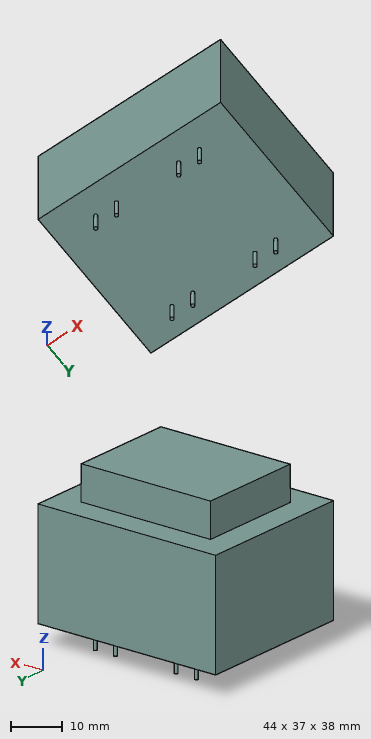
import cadquery as cq

body_length = 44.0
body_width = 37.0
body_height = 25.0

cover_margin = 6.0
cover_length = body_length - 2 * cover_margin
cover_width = body_width - 2 * cover_margin
cover_height = 8.0

pin_diameter = 0.8
pin_length = 5.0
pin_row_spacing = 25.0
outer_pin_spacing = 25.0
inner_pin_spacing = 15.0


def make_body():
    return cq.Workplane("XY").box(body_length, body_width, body_height, centered=(True, True, False))


def make_cover():
    return (
        cq.Workplane("XY", origin=(0, 0, body_height))
        .box(cover_length, cover_width, cover_height, centered=(True, True, False))
    )


def make_pins():
    pins = cq.Workplane("XY")
    for pair_spacing in (outer_pin_spacing, inner_pin_spacing):
        pins = pins.add(
            cq.Workplane("XY")
            .rect(pair_spacing, pin_row_spacing, forConstruction=True)
            .vertices()
            .circle(pin_diameter / 2)
            .extrude(-pin_length)
        )
    return pins.combine()


result = make_body().union(make_cover()).union(make_pins())